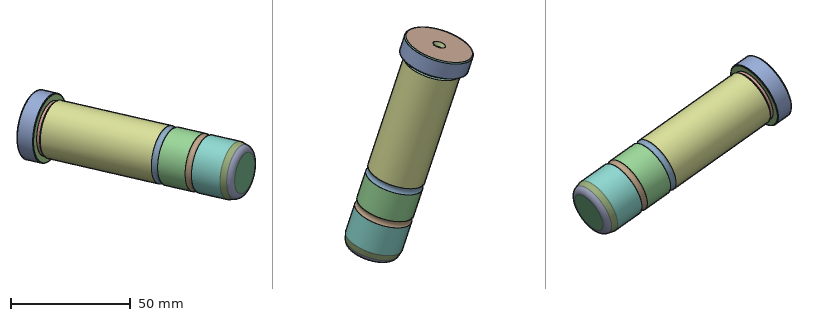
import cadquery as cq
import math

LENGTH = 100.0
HEAD_RADIUS = 15.0
HEAD_LENGTH = 8.0
HEAD_CHAMFER = 0.5
HEAD_BACK_CHAMFER = 0.3
BODY_RADIUS = 12.5

NECK_RADIUS = 12.0
NECK_END = 9.4
BODY_START = 10.0

GROOVE_CENTERS = (64.0, 80.0)
GROOVE_WIDTH = 3.0
GROOVE_DEPTH = 0.7

TAPER_START = 95.0
TAPER_ANGLE = math.radians(15)
NOSE_RADIUS = 3.0

HOLE_RADIUS = 1.7
HOLE_DEPTH = 6.0
COUNTERSINK_RADIUS = 2.7
COUNTERSINK_HALF_ANGLE = math.radians(30)
DRILL_TIP_HALF_ANGLE = math.radians(59)


def revolve_about_x(profile):
    return profile.close().revolve(360, (0, 0, 0), (1, 0, 0))


def make_pin():
    nose_center_x = LENGTH - NOSE_RADIUS
    nose_start_x = nose_center_x + NOSE_RADIUS * math.sin(TAPER_ANGLE)
    nose_start_r = BODY_RADIUS - (nose_start_x - TAPER_START) * math.tan(TAPER_ANGLE)
    end_face_r = nose_start_r - NOSE_RADIUS * math.cos(TAPER_ANGLE)

    profile = (
        cq.Workplane("XY")
        .lineTo(0, HEAD_RADIUS - HEAD_CHAMFER)
        .lineTo(HEAD_CHAMFER, HEAD_RADIUS)
        .lineTo(HEAD_LENGTH - HEAD_BACK_CHAMFER, HEAD_RADIUS)
        .lineTo(HEAD_LENGTH, HEAD_RADIUS - HEAD_BACK_CHAMFER)
        .lineTo(HEAD_LENGTH, NECK_RADIUS)
        .lineTo(NECK_END, NECK_RADIUS)
        .lineTo(BODY_START, BODY_RADIUS)
    )
    for center in GROOVE_CENTERS:
        profile = profile.lineTo(center - GROOVE_WIDTH / 2, BODY_RADIUS).threePointArc(
            (center, BODY_RADIUS - GROOVE_DEPTH),
            (center + GROOVE_WIDTH / 2, BODY_RADIUS),
        )
    profile = (
        profile.lineTo(TAPER_START, BODY_RADIUS)
        .lineTo(nose_start_x, nose_start_r)
        .tangentArcPoint((LENGTH, end_face_r), relative=False)
        .lineTo(LENGTH, 0)
    )
    return revolve_about_x(profile)


def make_center_hole():
    countersink_depth = (COUNTERSINK_RADIUS - HOLE_RADIUS) / math.tan(COUNTERSINK_HALF_ANGLE)
    tip_length = HOLE_RADIUS / math.tan(DRILL_TIP_HALF_ANGLE)
    profile = (
        cq.Workplane("XY")
        .lineTo(0, COUNTERSINK_RADIUS)
        .lineTo(countersink_depth, HOLE_RADIUS)
        .lineTo(HOLE_DEPTH, HOLE_RADIUS)
        .lineTo(HOLE_DEPTH + tip_length, 0)
    )
    return revolve_about_x(profile)


result = make_pin().cut(make_center_hole())